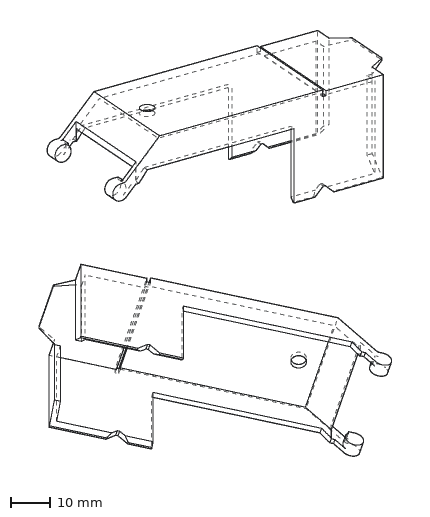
import cadquery as cq
import math


width = 31.0
height = 29.9
half_width = width / 2

wall_thickness = 1.6
inner_half_width = half_width - wall_thickness
leg_front_y = -27.2
beam_bottom_z = 21.2
leg_flange_width = 5.3
leg_flange_thickness = 1.6
leg_tip_width = 0.5

front_deck_thickness = 1.5
deck_step = 0.5
rear_deck_top_z = height - deck_step
rear_deck_thickness = 2.0
bend_y = -68.2
slope_angle = math.radians(45)
deck_end_y = -74.5

slot_center_y = -18.0
slot_width = 1.0
slot_floor_z = 28.0
slot_rear_y = slot_center_y + slot_width / 2
slot_front_y = slot_center_y - slot_width / 2
notch_bottom_width = 5.8
notch_top_width = 0.6
notch_depth = 2.5

tongue_length = 5.0
tongue_root_width = 20.3
tongue_tip_width = 14.2
tongue_tip_thickness = 0.6

arm_thickness = 1.4
arm_fillet_radius = 1.1
arm_step_z = 18.0
beam_bottom_end_y = -71.9
pin_radius = 2.45
pin_length = 3.8
pin_end_y = -82.47
pin_center_y = pin_end_y + pin_radius
pin_center_z = 16.92
pin_top_z = pin_center_z + pin_radius

hole_diameter = 4.0
hole_y = -62.0


def slope_z(y):
    """Height of the upper sloped face at a given Y."""
    return height - (bend_y - y) * math.tan(slope_angle)


slope_foot_y = bend_y - (height - pin_top_z) / math.tan(slope_angle)
fillet_tangent = arm_fillet_radius * math.tan(slope_angle / 2)
fillet_top_y = slope_foot_y + fillet_tangent * math.cos(slope_angle)
fillet_end_y = slope_foot_y - fillet_tangent


def extrude_across(profile, x_start, x_end):
    """Extrude a closed YZ profile from x_start to x_end."""
    return profile.extrude(x_end - x_start).translate((x_start, 0, 0))


def mirrored_pair(body):
    """Join a body with its mirror image about X = 0."""
    return body.union(body.mirror("YZ"))


def wall_profile():
    """Outline of a side wall with its leg, beam and arm."""
    fillet_mid = (
        fillet_end_y + arm_fillet_radius * math.sin(slope_angle / 2),
        pin_top_z + arm_fillet_radius * (1 - math.cos(slope_angle / 2)),
    )
    tangent_y = pin_center_y + pin_radius * math.sin(slope_angle)
    tangent_z = pin_center_z - pin_radius * math.cos(slope_angle)
    arm_step_y = tangent_y + (arm_step_z - tangent_z) / math.tan(slope_angle)
    tip_mid = (
        pin_center_y - pin_radius * math.cos(slope_angle / 2),
        pin_center_z - pin_radius * math.sin(slope_angle / 2),
    )
    return (
        cq.Workplane("YZ")
        .moveTo(0, 0)
        .lineTo(0, rear_deck_top_z)
        .lineTo(slot_rear_y, rear_deck_top_z)
        .lineTo(slot_rear_y, slot_floor_z)
        .lineTo(slot_front_y, slot_floor_z)
        .lineTo(slot_front_y, height)
        .lineTo(bend_y, height)
        .lineTo(fillet_top_y, slope_z(fillet_top_y))
        .threePointArc(fillet_mid, (fillet_end_y, pin_top_z))
        .lineTo(pin_center_y, pin_top_z)
        .threePointArc(tip_mid, (tangent_y, tangent_z))
        .lineTo(arm_step_y, arm_step_z)
        .lineTo(deck_end_y, arm_step_z)
        .lineTo(beam_bottom_end_y, beam_bottom_z)
        .lineTo(leg_front_y, beam_bottom_z)
        .lineTo(leg_front_y, 0)
        .lineTo(slot_center_y - notch_bottom_width / 2, 0)
        .lineTo(slot_center_y - notch_top_width / 2, notch_depth)
        .lineTo(slot_center_y + notch_top_width / 2, notch_depth)
        .lineTo(slot_center_y + notch_bottom_width / 2, 0)
        .close()
    )


def side_wall():
    """Right wall, thinned to the arm thickness beyond the deck end."""
    wall = extrude_across(wall_profile(), inner_half_width, half_width)
    arm_relief = cq.Workplane("XY").box(
        half_width - arm_thickness,
        deck_end_y - pin_end_y,
        height,
        centered=False,
    ).translate((0, pin_end_y, 0))
    return wall.cut(arm_relief)


def leg_flange():
    """Inward flange along the rear edge of the right leg."""
    return cq.Workplane("XY").box(
        leg_flange_width,
        leg_flange_thickness,
        rear_deck_top_z,
        centered=False,
    ).translate((half_width - leg_flange_width, -leg_flange_thickness, 0))


def leg_bevel():
    """Wedge that bevels the right leg bottom at 45 degrees."""
    bevel_size = leg_flange_width - leg_tip_width
    inner_x = half_width - leg_flange_width
    return (
        cq.Workplane("XZ")
        .polyline([
            (inner_x, 0),
            (half_width - leg_tip_width, 0),
            (inner_x, bevel_size),
        ])
        .close()
        .extrude(-leg_front_y)
    )


def pivot_pin():
    """Right pin: a cylinder with a flat shoulder level with its top."""
    x_start = half_width - pin_length
    cylinder = cq.Workplane("YZ").center(pin_center_y, pin_center_z).circle(pin_radius)
    shoulder = (
        cq.Workplane("YZ")
        .moveTo(pin_center_y, pin_center_z)
        .lineTo(fillet_top_y, pin_center_z)
        .lineTo(fillet_top_y, pin_top_z)
        .lineTo(pin_center_y, pin_top_z)
        .close()
    )
    pin = extrude_across(cylinder, x_start, half_width)
    return pin.union(extrude_across(shoulder, x_start, half_width))


def front_deck():
    """Flat plate that bends down into the sloped front, with the screw hole."""
    underside_z = height - front_deck_thickness
    slope_drop = front_deck_thickness / math.cos(slope_angle)
    inner_bend_y = bend_y + front_deck_thickness * math.tan(slope_angle / 2)
    profile = (
        cq.Workplane("YZ")
        .polyline([
            (slot_front_y, height),
            (bend_y, height),
            (deck_end_y, slope_z(deck_end_y)),
            (deck_end_y, slope_z(deck_end_y) - slope_drop),
            (inner_bend_y, underside_z),
            (slot_front_y, underside_z),
        ])
        .close()
    )
    deck = extrude_across(profile, -half_width, half_width)
    hole = (
        cq.Workplane("XY")
        .center(0, hole_y)
        .circle(hole_diameter / 2)
        .extrude(height)
    )
    return deck.cut(hole)


def rear_deck():
    """Flat plate behind the slot."""
    return cq.Workplane("XY").box(
        width,
        -slot_rear_y,
        rear_deck_thickness,
        centered=(True, False, False),
    ).translate((0, slot_rear_y, rear_deck_top_z - rear_deck_thickness))


def tongue():
    """Rear tongue, narrowing in plan and tapering in thickness."""
    plan = (
        cq.Workplane("XY")
        .polyline([
            (-tongue_root_width / 2, 0),
            (tongue_root_width / 2, 0),
            (tongue_tip_width / 2, tongue_length),
            (-tongue_tip_width / 2, tongue_length),
        ])
        .close()
        .extrude(height)
    )
    side = (
        cq.Workplane("YZ")
        .polyline([
            (0, rear_deck_top_z),
            (tongue_length, rear_deck_top_z),
            (tongue_length, rear_deck_top_z - tongue_tip_thickness),
            (0, rear_deck_top_z - rear_deck_thickness),
        ])
        .close()
    )
    return plan.intersect(extrude_across(side, -half_width, half_width))


side_assembly = side_wall().union(leg_flange()).cut(leg_bevel()).union(pivot_pin())

result = (
    mirrored_pair(side_assembly)
    .union(front_deck())
    .union(rear_deck())
    .union(tongue())
)